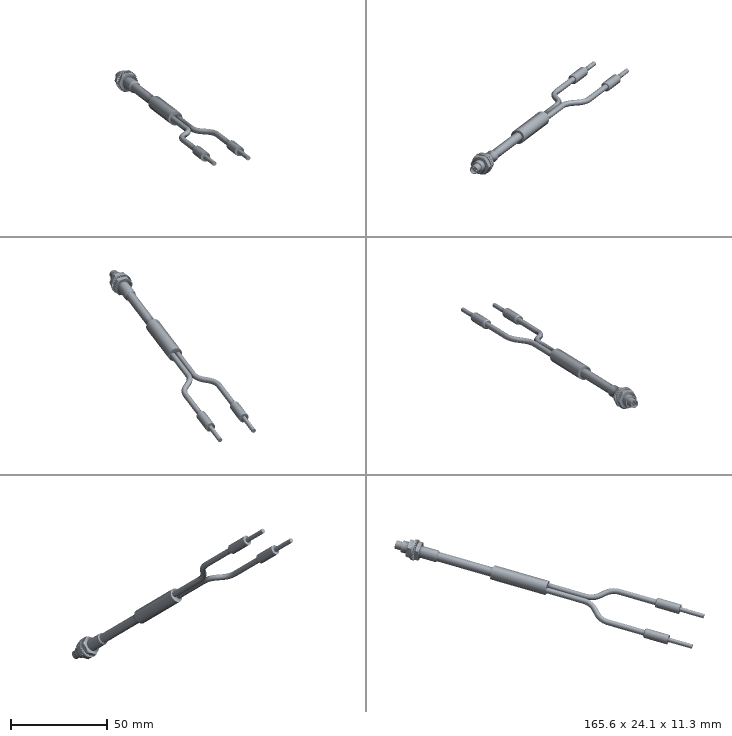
import cadquery as cq
import math


BARREL_START = 3.5
HEX_START = 7.0
FLANGE_START = 9.5
FLANGE_END = 10.5
BARREL_END = 23.0
PLUG_DIAMETER = 4.5
BARREL_DIAMETER = 6.3
BARREL_CHAMFER = 0.5
FLANGE_DIAMETER = 11.0

PLUG_BORE_DIAMETER = 3.6
PLUG_BORE_DEPTH = 2.5
OUTER_PIN_COUNT = 4
FIRST_PIN_ANGLE = 45
PIN_DIAMETER = 0.7
PIN_CIRCLE_DIAMETER = 2.3
PIN_LENGTH = 2.0

GROOVE_DIAMETER = 5.3
GROOVE_DEPTH = 1.0

HEX_ACROSS_FLATS = 9.5
HEX_BEVEL_ANGLE = 30
NUT_END = 13.5
NUT_TURN = 5

WASHER_WIDTH = 1.0
WASHER_RING_THICKNESS = 0.5
WASHER_RING_DIAMETER = 9.3
WASHER_DIAMETER = 11.3
TOOTH_COUNT = 32
TOOTH_WIDTH = 0.7
TOOTH_THICKNESS = 0.5
TOOTH_TWIST = 35
TOOTH_OVERLAP = 0.3

CABLE_DIAMETER = 5.0
SLEEVE_START = 53.0
SLEEVE_END = 83.0
SLEEVE_DIAMETER = 7.6

WIRE_DIAMETER = 3.0
WIRE_PITCH = 2.8
FORK_START = 103.5
BEND_RADIUS = 9.6
BEND_ANGLE = 46
BRANCH_Y = 9.5
BRANCH_Z = 0.5

FERRULE_START = 139.5
FERRULE_END = 152.5
FERRULE_DIAMETER = 5.1
FERRULE_CHAMFER = 0.5
TIP_DIAMETER = 2.3
TOTAL_LENGTH = 165.6

X_AXIS = ((0, 0, 0), (1, 0, 0))


def cylinder(start, end, diameter, y=0, z=0):
    """A round bar along X from start to end."""
    return cq.Workplane("YZ", origin=(start, y, z)).circle(diameter / 2).extrude(end - start)


def bevelled_hexagon(start, end):
    """A hexagon along X, flats up and down, with the corners of both ends turned off conically."""
    corner_radius = HEX_ACROSS_FLATS / math.sqrt(3)
    flat_radius = HEX_ACROSS_FLATS / 2
    bevel = (corner_radius - flat_radius) * math.tan(math.radians(HEX_BEVEL_ANGLE))
    hexagon = cq.Workplane("YZ", origin=(start, 0, 0)).polygon(6, 2 * corner_radius).extrude(end - start)
    turned = (
        cq.Workplane("XY")
        .moveTo(start, 0)
        .lineTo(start, flat_radius)
        .lineTo(start + bevel, corner_radius)
        .lineTo(end - bevel, corner_radius)
        .lineTo(end, flat_radius)
        .lineTo(end, 0)
        .close()
        .revolve(360, *X_AXIS)
    )
    return hexagon.intersect(turned)


def make_housing():
    """Plug, barrel, wrench hexagon and flange in one piece, with pins in the plug's bore."""
    barrel = cylinder(BARREL_START, BARREL_END, BARREL_DIAMETER).faces(">X").chamfer(BARREL_CHAMFER)
    groove = (
        cq.Workplane("YZ", origin=(BARREL_START, 0, 0))
        .circle(GROOVE_DIAMETER / 2)
        .circle(PLUG_DIAMETER / 2)
        .extrude(GROOVE_DEPTH)
    )
    pins = (
        cq.Workplane("YZ", origin=(PLUG_BORE_DEPTH - PIN_LENGTH, 0, 0))
        .polarArray(PIN_CIRCLE_DIAMETER / 2, FIRST_PIN_ANGLE, 360, OUTER_PIN_COUNT)
        .circle(PIN_DIAMETER / 2)
        .extrude(PIN_LENGTH)
        .union(cylinder(PLUG_BORE_DEPTH - PIN_LENGTH, PLUG_BORE_DEPTH, PIN_DIAMETER))
    )
    return (
        cylinder(0, BARREL_START, PLUG_DIAMETER)
        .cut(cylinder(0, PLUG_BORE_DEPTH, PLUG_BORE_DIAMETER))
        .union(pins)
        .union(barrel.cut(groove))
        .union(bevelled_hexagon(HEX_START, FLANGE_START))
        .union(cylinder(FLANGE_START, FLANGE_END, FLANGE_DIAMETER))
    )


def make_washer():
    """A thin ring, midway between flange and nut, with radial teeth twisted out of its plane."""
    middle = FLANGE_END + WASHER_WIDTH / 2
    ring_start = middle - WASHER_RING_THICKNESS / 2
    washer = cylinder(ring_start, ring_start + WASHER_RING_THICKNESS, WASHER_RING_DIAMETER)
    root = WASHER_RING_DIAMETER / 2 - TOOTH_OVERLAP
    tooth = (
        cq.Workplane("XY", origin=(middle, 0, root))
        .transformed(rotate=(0, 0, TOOTH_TWIST))
        .rect(TOOTH_THICKNESS, TOOTH_WIDTH)
        .extrude(WASHER_DIAMETER / 2 - root)
    )
    for index in range(TOOTH_COUNT):
        washer = washer.union(tooth.rotate(*X_AXIS, index * 360 / TOOTH_COUNT))
    space = cylinder(FLANGE_END, FLANGE_END + WASHER_WIDTH, WASHER_DIAMETER)
    return washer.intersect(space).cut(cylinder(FLANGE_END, BARREL_END, BARREL_DIAMETER))


def make_nut():
    """The lock nut on the barrel, turned slightly out of line with the housing's hexagon."""
    nut = bevelled_hexagon(FLANGE_END + WASHER_WIDTH, NUT_END).rotate(*X_AXIS, NUT_TURN)
    return nut.cut(cylinder(FLANGE_END, BARREL_END, BARREL_DIAMETER))


def make_branch():
    """The +Y wire: straight from the sleeve, an S-bend tilted slightly upwards, straight to the ferrule."""
    angle = math.radians(BEND_ANGLE)
    start_y = WIRE_PITCH / 2
    offset = math.hypot(BRANCH_Y - start_y, BRANCH_Z)
    tilt = math.degrees(math.atan2(BRANCH_Z, BRANCH_Y - start_y))
    arc_length = BEND_RADIUS * math.sin(angle)
    arc_rise = BEND_RADIUS * (1 - math.cos(angle))
    slope_length = (offset - 2 * arc_rise) / math.tan(angle)
    half_bend = (BEND_RADIUS * math.sin(angle / 2), BEND_RADIUS * (1 - math.cos(angle / 2)))
    fork_end = FORK_START + 2 * arc_length + slope_length
    path = (
        cq.Workplane("XY")
        .moveTo(SLEEVE_END, 0)
        .lineTo(FORK_START, 0)
        .threePointArc((FORK_START + half_bend[0], half_bend[1]), (FORK_START + arc_length, arc_rise))
        .lineTo(fork_end - arc_length, offset - arc_rise)
        .threePointArc((fork_end - half_bend[0], offset - half_bend[1]), (fork_end, offset))
        .lineTo(FERRULE_START, offset)
    )
    wire = cq.Workplane("YZ", origin=(SLEEVE_END, 0, 0)).circle(WIRE_DIAMETER / 2).sweep(path)
    return wire.rotate(*X_AXIS, tilt).translate((0, start_y, 0))


def make_twin_wire():
    """Two wires joined along their straight length; one is the other turned half round the X axis."""
    branch = make_branch()
    return branch.union(branch.rotate(*X_AXIS, 180))


def make_ferrule(side):
    """A ferrule with its thin tip; side is +1 for the +Y branch and -1 for the -Y branch."""
    y = side * BRANCH_Y
    z = side * BRANCH_Z
    body = cylinder(FERRULE_START, FERRULE_END, FERRULE_DIAMETER, y, z).faces("<X").chamfer(FERRULE_CHAMFER)
    return body.union(cylinder(FERRULE_END, TOTAL_LENGTH, TIP_DIAMETER, y, z))


housing = make_housing()
washer = make_washer()
nut = make_nut()
cable = cylinder(BARREL_END, SLEEVE_START, CABLE_DIAMETER)
sleeve = cylinder(SLEEVE_START, SLEEVE_END, SLEEVE_DIAMETER)
twin_wire = make_twin_wire()
ferrules = [make_ferrule(side) for side in (1, -1)]

result = cq.Compound.makeCompound([
    housing.val(),
    washer.val(),
    nut.val(),
    cable.val(),
    sleeve.val(),
    twin_wire.val(),
    *[ferrule.val() for ferrule in ferrules],
])